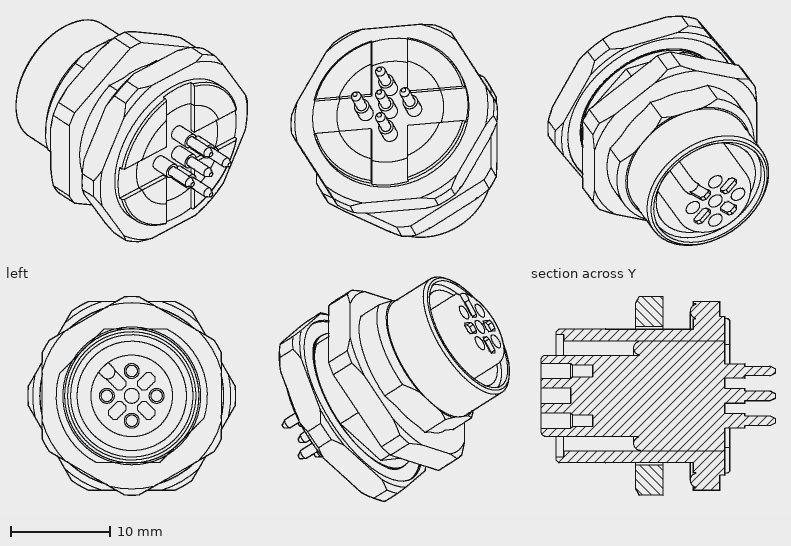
import cadquery as cq
import math


SLEEVE_FRONT = 1.5
SLEEVE_DIA = 13.5
SLEEVE_CHAMFER = 0.3
MOUTH_DIA = 12.3
MOUTH_DEPTH = 0.8
BORE_DIA = 11.0

THREAD_FRONT = 6.5
THREAD_DIA = 15.2
THREAD_CORE_DIA = 13.86
THREAD_CHAMFER = (THREAD_DIA - THREAD_CORE_DIA) / 2
FLAT_DISTANCE = 6.72
FLAT_ANGLES = (45, 90, 225, 270)

FLANGE_FRONT = 15.3
FLANGE_BACK = 18.0
FLANGE_ACROSS_FLATS = 19.0
FLANGE_CORNER_DIA = 20.9
FLANGE_CORNER_ANGLE = 0
FLANGE_CHAMFER = 0.5
BOSS_DIA = 16.0
BOSS_BACK = 19.0
BOSS_CHAMFER = 0.2
CROSS_SLOT_WIDTH = 3.75
CROSS_SLOT_FLOOR = 18.5

SEAL_RADIUS = 8.5
SEAL_TUBE_RADIUS = 0.75
SEAL_PROTRUSION = 0.3
SEAL_GROOVE_DEPTH = 0.25

NUT_FRONT = 9.5
NUT_BACK = 12.3
NUT_ACROSS_FLATS = 18.0
NUT_CORNER_DIA = 20.0
NUT_CORNER_ANGLE = 30
NUT_CHAMFER_LENGTH = 0.37
NUT_CHAMFER_ANGLE = 30
NUT_FACE_DIA = NUT_CORNER_DIA - 2 * NUT_CHAMFER_LENGTH / math.tan(math.radians(NUT_CHAMFER_ANGLE))

INSERT_DIA = 8.2
INSERT_ROUNDING = 0.5
COLLAR_FRONT = 10.0

CONTACT_PITCH = 2.5
SOCKET_DIA = 1.5
SOCKET_DEPTH = 3.0
CONTACT_BORE_DIA = 1.15
CONTACT_CONE_LENGTH = 0.2
CONTACT_BORE_DEPTH = 2.0

POCKET_INNER = 1.14
POCKET_OUTER = 3.0
POCKET_WIDTH = 1.22
POCKET_CHAMFER = 0.28
POCKET_DEPTH = 0.5
POCKET_ANGLES = (45, 135, 225, 315)
KEY_ANGLE = 45
KEY_WIDTH = 1.38
KEY_FLOOR_RADIUS = 2.7
KEY_LENGTH = 9.0

PIN_SHOULDER_DIA = 1.5
PIN_SHOULDER_END = 20.5
PIN_DIA = 1.0
PIN_TAPER_START = 23.05
PIN_TIP = 23.6
PIN_TIP_DIA = 0.45

OVERSIZE = 40.0


def turned(profile):
    """Revolve a closed (X, radius) profile about the X axis."""
    return profile.close().revolve(360, (0, 0, 0), (1, 0, 0))


def rod(dia, start, end):
    return cq.Workplane("YZ", origin=(start, 0, 0)).circle(dia / 2).extrude(end - start)


def cone(start_dia, end_dia, start, end):
    points = [(start, 0), (start, start_dia / 2), (end, end_dia / 2), (end, 0)]
    return turned(cq.Workplane("XY").polyline(points))


def at_angle(shape, angle):
    """Turn a shape about X, from +Y towards +Z."""
    return shape.rotate((0, 0, 0), (1, 0, 0), angle)


def hexagon(across_flats, start, end, corner_angle):
    """Hexagonal prism along X with a corner at corner_angle from +Y."""
    corner_circle = across_flats / math.cos(math.pi / 6)
    prism = cq.Workplane("YZ", origin=(start, 0, 0)).polygon(6, corner_circle).extrude(end - start)
    return at_angle(prism, corner_angle)


def contact_places():
    """(Y, Z) of the centre contact and the four contacts around it."""
    return [(0, 0), (CONTACT_PITCH, 0), (0, CONTACT_PITCH), (-CONTACT_PITCH, 0), (0, -CONTACT_PITCH)]


def cross_slots():
    """Crossed slots in the rear end that leave four corner pads on housing and insert."""
    back = cq.Workplane("YZ", origin=(CROSS_SLOT_FLOOR, 0, 0))
    depth = BOSS_BACK - CROSS_SLOT_FLOOR
    upright = back.rect(CROSS_SLOT_WIDTH, OVERSIZE).extrude(depth)
    return upright.union(back.rect(OVERSIZE, CROSS_SLOT_WIDTH).extrude(depth))


def thread_section():
    section = rod(THREAD_DIA, THREAD_FRONT, FLANGE_BACK).faces("<X").chamfer(THREAD_CHAMFER)
    for angle in FLAT_ANGLES:
        waste = cq.Workplane("XY").box(OVERSIZE, OVERSIZE, OVERSIZE)
        waste = waste.translate((0, FLAT_DISTANCE + OVERSIZE / 2, 0))
        section = section.cut(at_angle(waste, angle))
    return section


def flange():
    plate = hexagon(FLANGE_ACROSS_FLATS, FLANGE_FRONT, FLANGE_BACK, FLANGE_CORNER_ANGLE)
    corners = rod(FLANGE_CORNER_DIA, FLANGE_FRONT, FLANGE_BACK).faces("<X or >X").chamfer(FLANGE_CHAMFER)
    plate = plate.intersect(corners)
    groove = (
        cq.Workplane("YZ", origin=(FLANGE_FRONT, 0, 0))
        .circle(SEAL_RADIUS + SEAL_TUBE_RADIUS)
        .circle(SEAL_RADIUS - SEAL_TUBE_RADIUS)
        .extrude(SEAL_GROOVE_DEPTH)
    )
    seal_x = FLANGE_FRONT - SEAL_PROTRUSION + SEAL_TUBE_RADIUS
    seal = (
        cq.Workplane("XY")
        .center(seal_x, SEAL_RADIUS)
        .circle(SEAL_TUBE_RADIUS)
        .revolve(360, (-seal_x, -SEAL_RADIUS, 0), (1 - seal_x, -SEAL_RADIUS, 0))
    )
    return plate.cut(groove).union(seal)


def make_housing():
    body = rod(SLEEVE_DIA, SLEEVE_FRONT, THREAD_FRONT).faces("<X").chamfer(SLEEVE_CHAMFER)
    body = body.union(thread_section()).union(flange())
    body = body.union(rod(BOSS_DIA, FLANGE_BACK, BOSS_BACK).faces(">X").chamfer(BOSS_CHAMFER))
    body = body.cut(rod(BORE_DIA, SLEEVE_FRONT, BOSS_BACK))
    body = body.cut(rod(MOUTH_DIA, SLEEVE_FRONT, SLEEVE_FRONT + MOUTH_DEPTH))
    return body.cut(cross_slots())


def make_nut():
    nut = hexagon(NUT_ACROSS_FLATS, NUT_FRONT, NUT_BACK, NUT_CORNER_ANGLE)
    rounded = rod(NUT_CORNER_DIA, NUT_FRONT + NUT_CHAMFER_LENGTH, NUT_BACK).union(
        cone(NUT_FACE_DIA, NUT_CORNER_DIA, NUT_FRONT, NUT_FRONT + NUT_CHAMFER_LENGTH)
    )
    nut = nut.intersect(rounded).cut(rod(THREAD_CORE_DIA, NUT_FRONT, NUT_BACK))
    return nut.cut(thread_section())


def insert_blank():
    """Turned shape: contact face, inner seal bead against the bore, and collar."""
    face_radius = INSERT_DIA / 2
    bore_radius = BORE_DIA / 2
    bead_radius = (bore_radius - face_radius) / 2
    rounding_mid = INSERT_ROUNDING * (1 - math.sqrt(0.5))
    profile = (
        cq.Workplane("XY")
        .lineTo(0, face_radius - INSERT_ROUNDING)
        .threePointArc((rounding_mid, face_radius - rounding_mid), (INSERT_ROUNDING, face_radius))
        .lineTo(COLLAR_FRONT, face_radius)
        .threePointArc((COLLAR_FRONT - bead_radius, face_radius + bead_radius), (COLLAR_FRONT, bore_radius))
        .lineTo(BOSS_BACK, bore_radius)
        .lineTo(BOSS_BACK, 0)
    )
    return turned(profile)


def pocket():
    """Shallow recess with chamfered corners, reaching out along +Y."""
    length = POCKET_OUTER - POCKET_INNER
    block = cq.Workplane("XY").box(POCKET_DEPTH, length, POCKET_WIDTH, centered=(False, True, True))
    return block.edges("|X").chamfer(POCKET_CHAMFER).translate((0, POCKET_INNER + length / 2, 0))


def key_slot():
    """Round-bottomed keyway along the insert, with its pocket opened into it, along +Y."""
    floor_centre = KEY_FLOOR_RADIUS + KEY_WIDTH / 2
    slot = (
        cq.Workplane("YZ")
        .moveTo(INSERT_DIA, KEY_WIDTH / 2)
        .lineTo(floor_centre, KEY_WIDTH / 2)
        .threePointArc((KEY_FLOOR_RADIUS, 0), (floor_centre, -KEY_WIDTH / 2))
        .lineTo(INSERT_DIA, -KEY_WIDTH / 2)
        .close()
        .extrude(KEY_LENGTH)
    )
    link = cq.Workplane("XY").box(POCKET_DEPTH, INSERT_DIA / 2, POCKET_WIDTH, centered=(False, False, True))
    link = link.translate((0, (POCKET_INNER + POCKET_OUTER) / 2, 0))
    return slot.union(link)


def contact_socket():
    cone_end = SOCKET_DEPTH + CONTACT_CONE_LENGTH
    socket = rod(SOCKET_DIA, 0, SOCKET_DEPTH)
    socket = socket.union(cone(SOCKET_DIA, CONTACT_BORE_DIA, SOCKET_DEPTH, cone_end))
    return socket.union(rod(CONTACT_BORE_DIA, cone_end, cone_end + CONTACT_BORE_DEPTH))


def pin():
    shape = rod(PIN_SHOULDER_DIA, CROSS_SLOT_FLOOR, PIN_SHOULDER_END)
    shape = shape.union(rod(PIN_DIA, PIN_SHOULDER_END, PIN_TAPER_START))
    return shape.union(cone(PIN_DIA, PIN_TIP_DIA, PIN_TAPER_START, PIN_TIP))


def make_insert():
    insert = insert_blank()
    for angle in POCKET_ANGLES:
        insert = insert.cut(at_angle(pocket(), angle))
    insert = insert.cut(at_angle(key_slot(), KEY_ANGLE))
    insert = insert.cut(cross_slots())
    for y, z in contact_places():
        is_centre = (y, z) == (0, 0)
        socket = rod(SOCKET_DIA, 0, SOCKET_DEPTH) if is_centre else contact_socket()
        insert = insert.cut(socket.translate((0, y, z)))
        insert = insert.union(pin().translate((0, y, z)))
    return insert


housing = make_housing()
nut = make_nut()
insert = make_insert()

result = cq.Compound.makeCompound([housing.solids().val(), nut.solids().val(), insert.solids().val()])